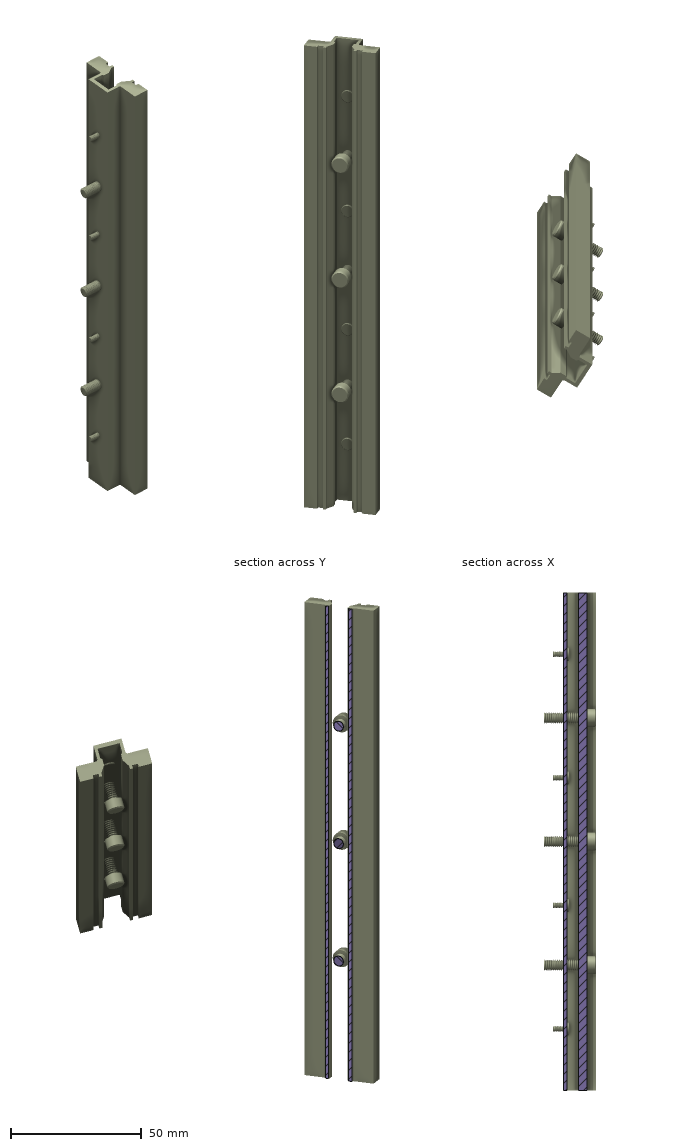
import cadquery as cq

rail_length = 190.5
rail_half_width = 28.575 / 2
rail_depth = 12.7
flange_depth = 6.35
channel_half_width = 11.1125 / 2
leg_chamfer = 0.54
leg_thickness = 1.19
floor_thickness = 1.6
throat_half_width = 3.7
throat_start_depth = 4.1
throat_end_depth = 6.6
throat_relief = 0.6
lip_half_width = 5.5
lip_thickness = 1.15
groove_width = 2.3
groove_depth = 1.27

large_diameter = 4.166
large_pitch = 25.4 / 32
large_head_diameter = 6.858
large_head_height = large_diameter
large_head_chamfer = 0.45
large_shank_length = 15.875
screw_spacing = 47.3
large_heights = [i * screw_spacing for i in (-1, 0, 1)]

small_diameter = 2.184
small_pitch = 25.4 / 56
small_head_diameter = 5.0
small_head_height = 0.7
small_head_chamfer = 0.2
small_protrusion = 3.85
small_shank_length = floor_thickness + small_protrusion
small_first_height = 24.4
small_heights = [
    side * (small_first_height + i * screw_spacing)
    for side in (-1, 1)
    for i in (0, 1)
]

crest_fraction = 1 / 8
thread_depth_ratio = 0.6

back_y = -rail_depth
floor_y = back_y + floor_thickness


def make_rail():
    groove_inner = lip_half_width + lip_thickness
    groove_outer = groove_inner + groove_width
    inner_leg = channel_half_width - leg_thickness
    half_outline = [
        (0, floor_y),
        (inner_leg, floor_y),
        (inner_leg, -throat_end_depth - throat_relief),
        (throat_half_width, -throat_end_depth),
        (throat_half_width, -throat_start_depth),
        (lip_half_width, -groove_depth),
        (lip_half_width, 0),
        (groove_inner, 0),
        (groove_inner, -groove_depth),
        (groove_outer, -groove_depth),
        (groove_outer, 0),
        (rail_half_width, 0),
        (rail_half_width, -flange_depth),
        (channel_half_width + leg_chamfer, -flange_depth),
        (channel_half_width, -flange_depth - leg_chamfer),
        (channel_half_width, back_y),
        (0, back_y),
    ]
    half = (
        cq.Workplane("XY")
        .workplane(offset=-rail_length / 2)
        .polyline(half_outline)
        .close()
        .extrude(rail_length)
    )
    rail = half.union(half.mirror("YZ")).clean()
    for heights, diameter in ((large_heights, large_diameter), (small_heights, small_diameter)):
        for z in heights:
            rail = rail.cut(screw_hole(diameter, z))
    return rail


def screw_hole(diameter, z):
    hole = cq.Solid.makeCylinder(
        diameter / 2, floor_thickness, cq.Vector(0, back_y, z), cq.Vector(0, 1, 0)
    )
    return cq.Workplane(obj=hole)


def make_screw(diameter, pitch, shank_length, head_diameter, head_height, head_chamfer, seat_y, z):
    """Screw along Y with its head's underside at seat_y and its tip toward -Y."""
    radius = diameter / 2
    head_radius = head_diameter / 2
    root_radius = radius - thread_depth_ratio * pitch
    turns = round(shank_length / pitch)
    turn_length = shank_length / turns
    crest = crest_fraction * turn_length
    flank = (turn_length - crest) / 2
    tip_y = seat_y - shank_length
    outline = [
        (0, tip_y),
        (root_radius, tip_y),
    ]
    for turn in range(turns):
        groove_y = tip_y + turn * turn_length
        outline += [
            (radius, groove_y + flank),
            (radius, groove_y + flank + crest),
            (root_radius, groove_y + turn_length),
        ]
    outline += [
        (head_radius, seat_y),
        (head_radius, seat_y + head_height - head_chamfer),
        (head_radius - head_chamfer, seat_y + head_height),
        (0, seat_y + head_height),
    ]
    screw = cq.Workplane("XY").polyline(outline).close().revolve(360, (0, 0, 0), (0, 1, 0))
    return screw.translate((0, 0, z))


rail = make_rail()
large_screws = [
    make_screw(large_diameter, large_pitch, large_shank_length, large_head_diameter,
               large_head_height, large_head_chamfer, -large_head_height, z)
    for z in large_heights
]
small_screws = [
    make_screw(small_diameter, small_pitch, small_shank_length, small_head_diameter,
               small_head_height, small_head_chamfer, floor_y, z)
    for z in small_heights
]

result = cq.Compound.makeCompound(
    [rail.val()] + [screw.val() for screw in large_screws + small_screws]
)